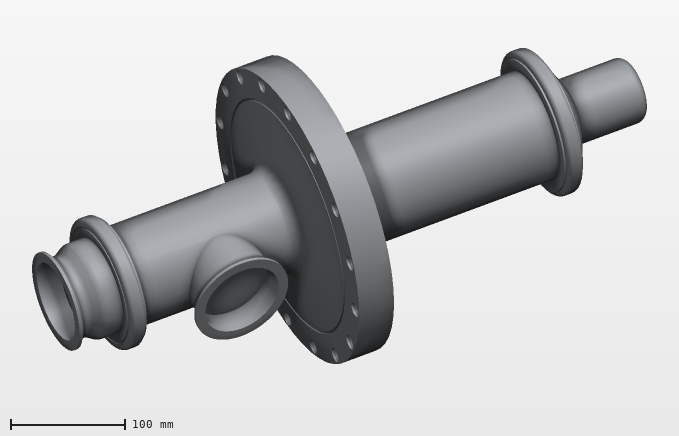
import cadquery as cq
import math

total_length = 570.0

flange_diameter = 275.0
flange_front = 228.0
flange_thickness = 34.0
flange_back = flange_front + flange_thickness
bolt_count = 16
bolt_hole_diameter = 13.0
bolt_circle_diameter = 257.5
recess_diameter = 219.0
recess_depth = 2.0

rear_tube_radius = 101.5 / 2
tube_fillet = 10.0
rear_ring_radius = 135.0 / 2
ring_face_step = 1.5
ring_edge_fillet = 4.0
rear_ring_front = 469.0
rear_ring_back = 487.5
rear_face_radius = 61.5
tail_cone_radius = 109.0 / 2
tail_cone_start = 490.5
tail_cone_end = 503.5
tail_radius = 60.5 / 2
tail_fillet = 9.0

front_tube_radius = 93.0 / 2
base_radius = 214.5 / 2
base_front = 217.0
front_ring_radius = 122.5 / 2
front_ring_front = 43.5
front_ring_back = 60.0
front_face_radius = 57.5
collar_radius = 89.0 / 2
collar_front = 25.5
neck_start = 15.5
shoulder_fillet = 8.5
neck_fillet = 5.5
face_groove_outer_radius = 109.0 / 2
face_groove_inner_radius = 52.5
face_groove_depth = 1.0

port_radius = 76.5 / 2
port_bore_diameter = 72.5
port_bore_depth = 23.0
ferrule_radius = 91.0 / 2
ferrule_rim = 3.0
ferrule_bevel_radius = 41.5
ferrule_height = 5.5
side_port_y = 146.0
side_port_reach = 72.5


def revolve_about_y(profile):
    """Revolve a closed (radius, y) outline about the Y axis."""
    return profile.close().revolve(360, (0, 0, 0), (0, 1, 0))


def rod(radius, start, end):
    """Cylinder on the Y axis between two Y positions."""
    return cq.Workplane("XZ", origin=(0, start, 0)).circle(radius).extrude(start - end)


def circle_at(y, radius):
    """Selector for the circular edge of a given radius at one Y position."""
    margin = 0.5
    reach = radius + margin
    return cq.selectors.BoxSelector(
        (-reach, y - margin, -reach), (reach, y + margin, reach), boundingbox=True
    )


def clamp_ring(radius, start, end):
    """Disc with rounded rims on the Y axis."""
    return rod(radius, start, end).edges("%CIRCLE").fillet(ring_edge_fillet)


def ferrule_port(length):
    """Short tube along +Y from Y = 0, with a bevelled clamping lip at Y = 0."""
    return revolve_about_y(
        cq.Workplane("XY")
        .moveTo(0, 0)
        .lineTo(ferrule_radius, 0)
        .lineTo(ferrule_radius, ferrule_rim)
        .lineTo(ferrule_bevel_radius, ferrule_height)
        .lineTo(port_radius, ferrule_height)
        .lineTo(port_radius, length)
        .lineTo(0, length)
    )


def port_bore():
    """Blind bore along +Y from Y = 0."""
    return rod(port_bore_diameter / 2, 0, port_bore_depth)


def turn_to_side(shape):
    """Move a port from the front end to the +X side of the front tube."""
    return shape.rotate((0, 0, 0), (0, 0, 1), 90).translate((side_port_reach, side_port_y, 0))


def bolt_holes():
    """Ring of through holes for the bolting flange."""
    return (
        cq.Workplane("XZ", origin=(0, flange_front, 0))
        .polarArray(bolt_circle_diameter / 2, 0, 360, bolt_count)
        .circle(bolt_hole_diameter / 2)
        .extrude(-flange_thickness)
    )


def make_rear_body():
    """Bolting flange with the rear tube, clamp ring and rounded tail."""
    arc_offset = tube_fillet * (1 - math.sqrt(0.5))
    tube = revolve_about_y(
        cq.Workplane("XY")
        .moveTo(0, flange_front)
        .lineTo(flange_diameter / 2, flange_front)
        .lineTo(flange_diameter / 2, flange_back)
        .lineTo(rear_tube_radius + tube_fillet, flange_back)
        .threePointArc(
            (rear_tube_radius + arc_offset, flange_back + arc_offset),
            (rear_tube_radius, flange_back + tube_fillet),
        )
        .lineTo(rear_tube_radius, rear_ring_back)
        .lineTo(0, rear_ring_back)
    )
    ring_face = rod(rear_face_radius, rear_ring_front, rear_ring_back)
    ring = clamp_ring(rear_ring_radius, rear_ring_front + ring_face_step, rear_ring_back - ring_face_step)
    tail = revolve_about_y(
        cq.Workplane("XY")
        .moveTo(0, rear_ring_front)
        .lineTo(tail_cone_radius, rear_ring_front)
        .lineTo(tail_cone_radius, tail_cone_start)
        .lineTo(tail_radius, tail_cone_end)
        .lineTo(tail_radius, total_length)
        .lineTo(0, total_length)
    ).faces(">Y").edges().fillet(tail_fillet)
    recess = rod(recess_diameter / 2, flange_front, flange_front + recess_depth)
    return tube.union(ring_face).union(ring).union(tail).cut(recess).cut(bolt_holes())


def make_front_body():
    """Front tube on a conical base, with clamp ring, end ferrule and side port."""
    base_seat = flange_front + recess_depth
    tube = revolve_about_y(
        cq.Workplane("XY")
        .moveTo(0, front_ring_front)
        .lineTo(front_tube_radius, front_ring_front)
        .lineTo(front_tube_radius, base_front)
        .lineTo(base_radius, flange_front)
        .lineTo(base_radius, base_seat)
        .lineTo(0, base_seat)
    )
    tube = tube.edges(circle_at(base_front, front_tube_radius)).fillet(tube_fillet)
    ring = clamp_ring(front_ring_radius, front_ring_front, front_ring_back - ring_face_step)
    ring_face = rod(front_face_radius, front_ring_front, front_ring_back)
    collar = revolve_about_y(
        cq.Workplane("XY")
        .moveTo(0, ferrule_height)
        .lineTo(port_radius, ferrule_height)
        .lineTo(port_radius, neck_start)
        .lineTo(collar_radius, collar_front)
        .lineTo(collar_radius, front_ring_back)
        .lineTo(0, front_ring_back)
    )
    collar = collar.edges(circle_at(collar_front, collar_radius)).fillet(shoulder_fillet)
    collar = collar.edges(circle_at(neck_start, port_radius)).fillet(neck_fillet)
    face_groove = rod(face_groove_outer_radius, front_ring_front, front_ring_front + face_groove_depth).cut(
        rod(face_groove_inner_radius, front_ring_front, front_ring_front + face_groove_depth)
    )
    ring = ring.union(ring_face).cut(face_groove)
    body = tube.union(ring).union(collar)
    body = body.union(ferrule_port(front_ring_front)).union(turn_to_side(ferrule_port(side_port_reach)))
    return body.cut(port_bore()).cut(turn_to_side(port_bore()))


rear_body = make_rear_body()
front_body = make_front_body()
result = cq.Compound.makeCompound([rear_body.val(), front_body.val()])